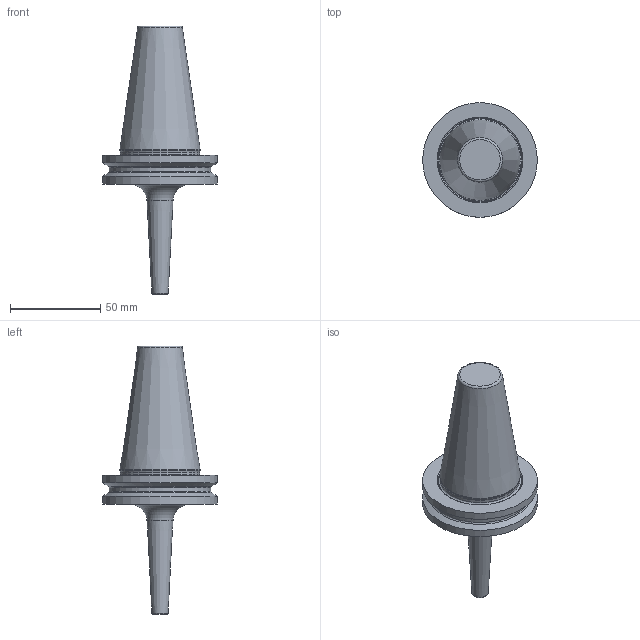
import cadquery as cq
import math

GAUGE_DIAMETER = 44.45
TAPER_LENGTH = 68.4
TAPER_RATIO = 7 / 24
TAPER_END_FILLET = 1.2

FLANGE_DIAMETER = 63.55
FLANGE_TOP_Z = -3.2
FLANGE_BOTTOM_Z = -19.1

V_GROOVE_CENTER_Z = -11.1
V_GROOVE_FLOOR_DIAMETER = 56.25
V_GROOVE_FLOOR_WIDTH = 3.2
V_GROOVE_FLOOR_FILLET = 1.0
V_GROOVE_FLANK_ANGLE = 30

COLLAR_LAND_Z = -0.5
NECK_DIAMETER = 44.0
NECK_TOP_Z = -1.4

RELIEF_DIAMETER = 47.5
RELIEF_DEPTH = 0.7
RELIEF_NECK_FILLET = 0.9
RELIEF_WALL_FILLET = 0.6

NOSE_END_Z = -80.0
NOSE_TIP_DIAMETER = 9.0
NOSE_HALF_ANGLE = 3
NOSE_TIP_FILLET = 0.5
NOSE_ROOT_FILLET = 9.8

MATCH_TOLERANCE = 0.01

gauge_radius = GAUGE_DIAMETER / 2
taper_end_radius = gauge_radius - TAPER_LENGTH * TAPER_RATIO / 2
flange_radius = FLANGE_DIAMETER / 2
groove_floor_radius = V_GROOVE_FLOOR_DIAMETER / 2
flank_height = (flange_radius - groove_floor_radius) * math.tan(math.radians(V_GROOVE_FLANK_ANGLE))
groove_half_floor = V_GROOVE_FLOOR_WIDTH / 2
groove_half_mouth = groove_half_floor + flank_height
neck_radius = NECK_DIAMETER / 2
relief_radius = RELIEF_DIAMETER / 2
relief_floor_z = FLANGE_TOP_Z - RELIEF_DEPTH
nose_tip_radius = NOSE_TIP_DIAMETER / 2
nose_length = FLANGE_BOTTOM_Z - NOSE_END_Z
nose_root_radius = nose_tip_radius + nose_length * math.tan(math.radians(NOSE_HALF_ANGLE))


def revolve_profile(points):
    """Revolve a closed (radius, z) outline around the Z axis."""
    return cq.Workplane("XZ").polyline(points).close().revolve(360, (0, 0, 0), (0, 1, 0))


def make_body():
    """Taper, relieved neck, flange and nose as one turned body with sharp edges."""
    return revolve_profile([
        (0, TAPER_LENGTH),
        (taper_end_radius, TAPER_LENGTH),
        (gauge_radius, 0),
        (gauge_radius, COLLAR_LAND_Z),
        (neck_radius, NECK_TOP_Z),
        (neck_radius, relief_floor_z),
        (relief_radius, relief_floor_z),
        (relief_radius, FLANGE_TOP_Z),
        (flange_radius, FLANGE_TOP_Z),
        (flange_radius, FLANGE_BOTTOM_Z),
        (nose_root_radius, FLANGE_BOTTOM_Z),
        (nose_tip_radius, NOSE_END_Z),
        (0, NOSE_END_Z),
    ])


def fillet_circle_at(body, height, edge_radius, fillet_radius):
    """Round the circular edge with the given height and radius."""
    circles = body.edges("%CIRCLE").vals()
    matches = [
        circle for circle in circles
        if abs(circle.Center().z - height) < MATCH_TOLERANCE
        and abs(circle.radius() - edge_radius) < MATCH_TOLERANCE
    ]
    return body.newObject(matches).fillet(fillet_radius)


def make_v_groove():
    """Gripper groove around the flange."""
    return revolve_profile([
        (groove_floor_radius, V_GROOVE_CENTER_Z + groove_half_floor),
        (flange_radius, V_GROOVE_CENTER_Z + groove_half_mouth),
        (flange_radius, V_GROOVE_CENTER_Z - groove_half_mouth),
        (groove_floor_radius, V_GROOVE_CENTER_Z - groove_half_floor),
    ])


body = make_body()
body = fillet_circle_at(body, TAPER_LENGTH, taper_end_radius, TAPER_END_FILLET)
body = fillet_circle_at(body, relief_floor_z, neck_radius, RELIEF_NECK_FILLET)
body = fillet_circle_at(body, relief_floor_z, relief_radius, RELIEF_WALL_FILLET)
body = fillet_circle_at(body, FLANGE_BOTTOM_Z, nose_root_radius, NOSE_ROOT_FILLET)
body = fillet_circle_at(body, NOSE_END_Z, nose_tip_radius, NOSE_TIP_FILLET)
body = body.cut(make_v_groove())
for side in (1, -1):
    floor_edge_z = V_GROOVE_CENTER_Z + side * groove_half_floor
    body = fillet_circle_at(body, floor_edge_z, groove_floor_radius, V_GROOVE_FLOOR_FILLET)

result = body